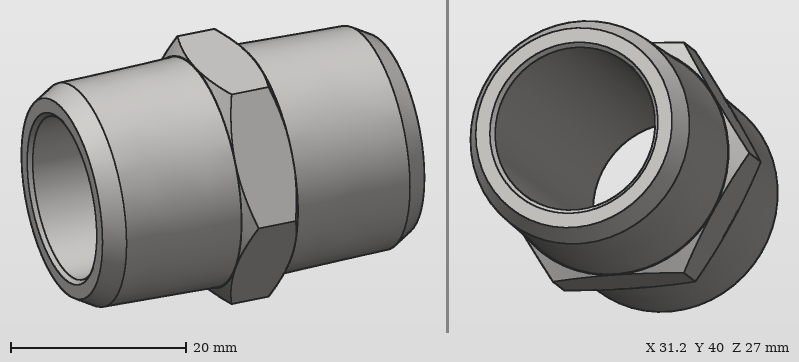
import cadquery as cq
import math

length = 40.0
half_length = length / 2

hex_flats = 27.0
hex_width = 7.0
hex_corners = hex_flats / math.cos(math.radians(30))
hex_chamfer_angle = 30.0
hex_chamfer_drop = (hex_corners - hex_flats) / 2 * math.tan(math.radians(hex_chamfer_angle))

root_radius = 13.4
tip_radius = 13.05
end_radius = 11.7
end_chamfer_length = 2.4

bore_radius = 9.5
bore_chamfer = 0.5


def revolve_about_y(points):
    """Revolve a closed (radius, y) outline a full turn about the Y axis."""
    return cq.Workplane("XY").polyline(points).close().revolve(360, (0, 0, 0), (0, 1, 0))


def mirrored_outline(upper_points):
    """Close an outline given on +Y, listed outwards from the middle, with its -Y mirror image."""
    lower_points = [(radius, -y) for radius, y in reversed(upper_points)]
    return lower_points + upper_points


def make_hexagon():
    prism = (
        cq.Workplane("XZ")
        .polygon(6, hex_corners)
        .extrude(hex_width / 2, both=True)
    )
    chamfer_envelope = revolve_about_y(mirrored_outline([
        (hex_corners / 2, hex_width / 2 - hex_chamfer_drop),
        (hex_flats / 2, hex_width / 2),
        (0, hex_width / 2),
    ]))
    return prism.intersect(chamfer_envelope)


def make_tapered_ends():
    return revolve_about_y(mirrored_outline([
        (root_radius, hex_width / 2),
        (tip_radius, half_length - end_chamfer_length),
        (end_radius, half_length),
        (0, half_length),
    ]))


def make_bore():
    return revolve_about_y(mirrored_outline([
        (bore_radius, half_length - bore_chamfer),
        (bore_radius + bore_chamfer, half_length),
        (0, half_length),
    ]))


result = make_hexagon().union(make_tapered_ends()).cut(make_bore())